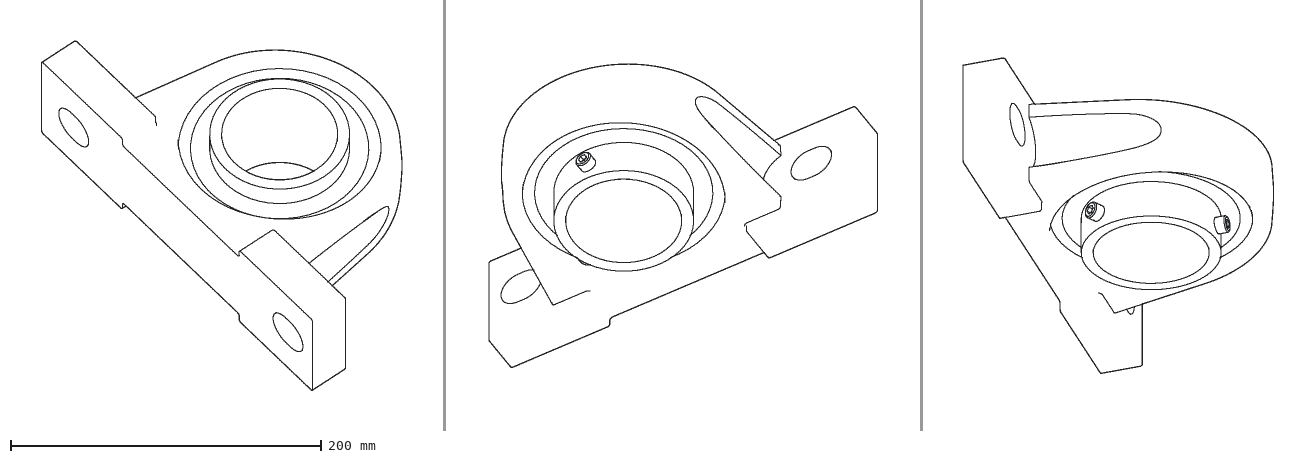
import cadquery as cq
import math


base_left = 141.4
base_right = 133.6
base_bottom_y = -82.5
base_thickness = 28.5
base_depth = 74.2
base_top_y = base_bottom_y + base_thickness
base_edge_radius = 2.0

waist_half_length = 59.0
waist_depth = 59.7

slot_offset = 108.5
slot_length = 30.2
slot_width = 25.5

crown_radius = 79.0
flank_angle = 7.6
land_thickness = 10.0
draft_angle = 3.5
face_slope_angle = 4.0
upright_edge_radius = 1.6
face_blend_radius = 49.5
half_waist_depth = waist_depth / 2
half_crown_depth = half_waist_depth - (crown_radius - base_top_y) * math.tan(math.radians(face_slope_angle))

hollow_radius = 20.0
hollow_floor_x = 72.3

seat_radius = 65.5
seat_edge_radius = 1.6
outer_ring_width = 36.3
outer_ring_inner_radius = 57.5
inner_ring_radius = 45.0
bore_radius = 37.5
inner_ring_top_z = 33.3
inner_ring_bottom_z = -44.3

screw_radius = 5.5
screw_tip_distance = 52.2
screw_z = -32.7
screw_chamfer = 0.8
socket_across_corners = 5.8
socket_depth = 3.3
screw_angles = (90, -30)


def make_base():
    """Base plate with a waist between two deeper feet, rounded except on its underside."""
    half_depth = base_depth / 2
    waist_x = waist_half_length
    waist_z = half_waist_depth
    profile = (
        cq.Sketch()
        .polygon([
            (-base_left, -half_depth),
            (-waist_x, -half_depth),
            (-waist_x, -waist_z),
            (waist_x, -waist_z),
            (waist_x, -half_depth),
            (base_right, -half_depth),
            (base_right, half_depth),
            (waist_x, half_depth),
            (waist_x, waist_z),
            (-waist_x, waist_z),
            (-waist_x, half_depth),
            (-base_left, half_depth),
            (-base_left, -half_depth),
        ])
        .vertices()
        .fillet(base_edge_radius)
    )
    plate = cq.Workplane("XZ", origin=(0, base_bottom_y, 0)).placeSketch(profile).extrude(-base_thickness)
    return plate.faces(">Y").edges().fillet(base_edge_radius)


def make_drafted_arch():
    """Arch-shaped block with a straight land at mid-depth and draft above and below it."""
    angle = math.radians(flank_angle)
    tangent_x = crown_radius * math.cos(angle)
    tangent_y = crown_radius * math.sin(angle)
    foot_x = tangent_x + (tangent_y - base_bottom_y) * math.tan(angle)
    outline = (
        cq.Sketch()
        .segment((-foot_x, base_bottom_y), (-tangent_x, tangent_y))
        .arc((-tangent_x, tangent_y), (0, crown_radius), (tangent_x, tangent_y))
        .segment((foot_x, base_bottom_y))
        .close()
        .assemble()
    )
    half_land = land_thickness / 2
    land = cq.Workplane("XY").placeSketch(outline).extrude(half_land, both=True)
    upper = (
        cq.Workplane("XY")
        .workplane(offset=half_land)
        .placeSketch(outline)
        .extrude(base_depth / 2 - half_land, taper=draft_angle)
    )
    return land.union(upper).union(upper.mirror("XY"))


def make_face_envelope():
    """Prism along X whose two faces are parallel at the waist and close in towards the crown."""
    slope = math.radians(face_slope_angle)
    tangent_length = face_blend_radius * math.tan(slope / 2)
    blend_start_y = base_top_y - tangent_length
    blend_end_y = base_top_y + tangent_length * math.cos(slope)
    blend_end_z = half_waist_depth - tangent_length * math.sin(slope)
    return (
        cq.Workplane("YZ")
        .moveTo(base_bottom_y, -half_waist_depth)
        .lineTo(blend_start_y, -half_waist_depth)
        .tangentArcPoint((blend_end_y, -blend_end_z), relative=False)
        .lineTo(crown_radius, -half_crown_depth)
        .lineTo(crown_radius, half_crown_depth)
        .lineTo(blend_end_y, blend_end_z)
        .tangentArcPoint((blend_start_y, half_waist_depth), relative=False)
        .lineTo(base_bottom_y, half_waist_depth)
        .close()
        .extrude(base_left, both=True)
    )


def make_upright():
    """Drafted arch between sloping faces, with a rounded rim and a hollow along each flank."""
    upright = make_drafted_arch().intersect(make_face_envelope())
    for side in (1, -1):
        crown_rim = cq.selectors.BoxSelector(
            (-crown_radius, 0, side * half_crown_depth / 2), (crown_radius, crown_radius, side * base_depth)
        )
        upright = upright.edges(crown_rim).fillet(upright_edge_radius)
    for side in (1, -1):
        hollow = (
            cq.Workplane("XZ")
            .center(side * (hollow_floor_x + hollow_radius), 0)
            .circle(hollow_radius)
            .extrude(2 * crown_radius, both=True)
        )
        upright = upright.cut(hollow)
    return upright


def make_housing():
    """Base and upright in one piece, with mounting slots and the bearing seat."""
    housing = make_upright().union(make_base())
    slots = (
        cq.Workplane("XZ", origin=(0, base_bottom_y, 0))
        .pushPoints([(-slot_offset, 0), (slot_offset, 0)])
        .slot2D(slot_length, slot_width)
        .extrude(-base_thickness)
    )
    seat = cq.Workplane("XY").circle(seat_radius).extrude(base_depth, both=True)
    housing = housing.cut(slots).cut(seat)
    around_seat = cq.selectors.BoxSelector(
        (-seat_radius, -seat_radius, -base_depth), (seat_radius, seat_radius, base_depth)
    )
    seat_rims = around_seat & cq.StringSyntaxSelector("%ELLIPSE")
    return housing.edges(seat_rims).fillet(seat_edge_radius)


def make_outer_ring():
    """Plain outer ring that fills the seat."""
    return (
        cq.Workplane("XY")
        .circle(seat_radius)
        .circle(outer_ring_inner_radius)
        .extrude(outer_ring_width / 2, both=True)
    )


def make_set_screw(angle):
    """Radial set screw with a chamfered tip and a hexagon socket."""
    start = (bore_radius + inner_ring_radius) / 2
    screw = (
        cq.Workplane("YZ")
        .workplane(offset=start)
        .circle(screw_radius)
        .extrude(screw_tip_distance - start)
        .faces(">X")
        .chamfer(screw_chamfer)
        .faces(">X")
        .workplane()
        .polygon(6, socket_across_corners)
        .cutBlind(-socket_depth)
    )
    return screw.rotate((0, 0, 0), (0, 0, 1), angle).translate((0, 0, screw_z))


def make_inner_ring():
    """Inner ring with its shoulder, bore and two set screws."""
    sleeve = (
        cq.Workplane("XY")
        .workplane(offset=inner_ring_bottom_z)
        .circle(inner_ring_radius)
        .extrude(inner_ring_top_z - inner_ring_bottom_z)
    )
    shoulder = cq.Workplane("XY").circle(outer_ring_inner_radius).extrude(outer_ring_width / 2, both=True)
    bore = cq.Workplane("XY").circle(bore_radius).extrude(base_depth, both=True)
    ring = sleeve.union(shoulder).cut(bore)
    for angle in screw_angles:
        ring = ring.union(make_set_screw(angle))
    return ring


housing = make_housing()
outer_ring = make_outer_ring()
inner_ring = make_inner_ring()

result = cq.Compound.makeCompound([housing.val(), outer_ring.val(), inner_ring.val()])